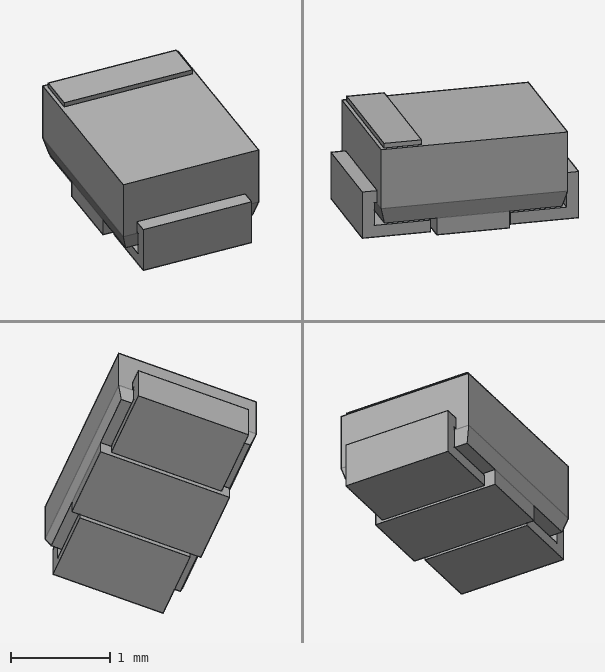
import cadquery as cq

OVERALL_LENGTH = 2.26
OVERALL_HEIGHT = 1.04

BODY_LENGTH = 1.948
BODY_WIDTH = 1.5
MARK_THICKNESS = 0.05
BODY_TOP = OVERALL_HEIGHT - MARK_THICKNESS
TAPER_TOP = 0.357
TAPER_BOTTOM = 0.18
TAPER_INSET = 0.047
PAD_LENGTH = 0.76

MARK_LENGTH = 0.39
MARK_INSET = 0.04

TERMINAL_WIDTH = 1.2
TERMINAL_HEIGHT = 0.497
TERMINAL_THICKNESS = 0.127
FOOT_LENGTH = 0.715


def make_housing():
    """Block, tapered below, standing on a pad that reaches the mounting plane."""
    base_length = BODY_LENGTH - 2 * TAPER_INSET
    base_width = BODY_WIDTH - 2 * TAPER_INSET
    block = (
        cq.Workplane("XY", origin=(0, 0, TAPER_TOP))
        .rect(BODY_LENGTH, BODY_WIDTH)
        .extrude(BODY_TOP - TAPER_TOP)
    )
    taper = (
        cq.Workplane("XY", origin=(0, 0, TAPER_BOTTOM))
        .rect(base_length, base_width)
        .workplane(offset=TAPER_TOP - TAPER_BOTTOM)
        .rect(BODY_LENGTH, BODY_WIDTH)
        .loft(ruled=True)
    )
    pad = cq.Workplane("XY").rect(PAD_LENGTH, base_width).extrude(TAPER_BOTTOM)
    return block.union(taper).union(pad)


def make_polarity_mark():
    """Thin raised bar near the -X end of the top face."""
    center_x = -BODY_LENGTH / 2 + MARK_INSET + MARK_LENGTH / 2
    return (
        cq.Workplane("XY", origin=(center_x, 0, BODY_TOP))
        .rect(MARK_LENGTH, BODY_WIDTH - 2 * MARK_INSET)
        .extrude(MARK_THICKNESS)
    )


def make_terminal(side):
    """C-shaped strip: foot, upright and a short lip that meets the housing end.

    side is -1 for the -X end and +1 for the +X end.
    """
    outer = side * OVERALL_LENGTH / 2
    inner = outer - side * TERMINAL_THICKNESS
    foot_tip = outer - side * FOOT_LENGTH
    housing_end = side * BODY_LENGTH / 2
    lip_bottom = TERMINAL_HEIGHT - TERMINAL_THICKNESS
    profile = [
        (outer, 0),
        (foot_tip, 0),
        (foot_tip, TERMINAL_THICKNESS),
        (inner, TERMINAL_THICKNESS),
        (inner, lip_bottom),
        (housing_end, lip_bottom),
        (housing_end, TERMINAL_HEIGHT),
        (outer, TERMINAL_HEIGHT),
    ]
    return cq.Workplane("XZ").polyline(profile).close().extrude(TERMINAL_WIDTH / 2, both=True)


housing = make_housing()
polarity_mark = make_polarity_mark()
terminals = [make_terminal(side) for side in (-1, 1)]

result = cq.Compound.makeCompound(
    [housing.val(), polarity_mark.val(), *[terminal.val() for terminal in terminals]]
)